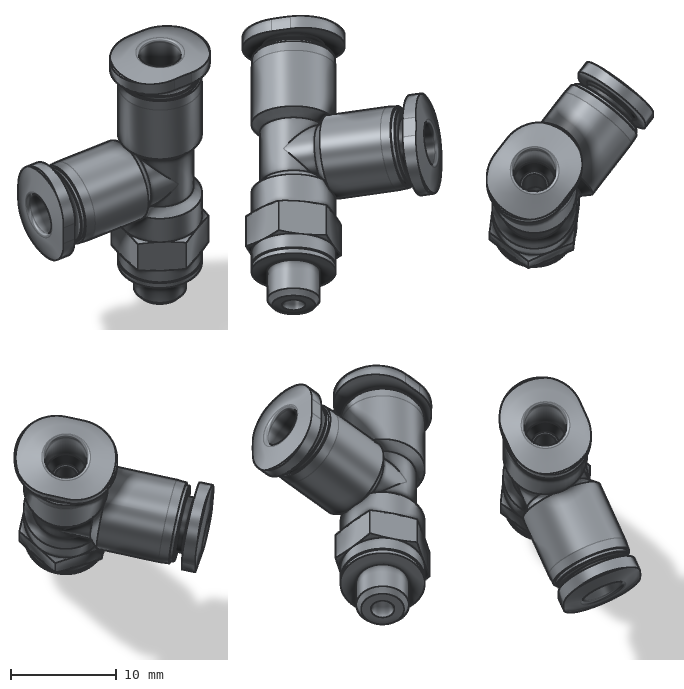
import cadquery as cq
import math

TOTAL_HEIGHT = 28.7
PORT_REACH = 13.7
TEE_Z = TOTAL_HEIGHT - PORT_REACH

BODY_R = 8.0 / 2
NECK_R = 6.4 / 2
SHOULDER = BODY_R - NECK_R
UPPER_BODY_START = 4.0
BRANCH_BODY_START = 3.87

CAP_START = 9.9
CAP_STEP = 10.88
CAP_END = 11.28
CAP_R = 7.85 / 2
CAP_RIM_R = 7.4 / 2
CAP_RIM_CHAMFER = 0.1
STEM_R = 5.4 / 2
STEM_FLARE = 0.25
FLANGE_START = 12.15
FLANGE_WIDTH = 7.92
FLANGE_LENGTH = 9.82
CROWN_R = 4.74
CROWN_DROP = 0.35
TIP_DROP = 0.45

SOCKET_R = 4.0 / 2
MOUTH_ROUND = 0.32
SOCKET_DEPTH = 5.75
TAPER_DEPTH = 1.15
SEAT_R = 2.7 / 2
PASSAGE_R = 2.2 / 2

THREAD_R = 5.0 / 2
THREAD_CHAMFER_R = 0.45
THREAD_CHAMFER_H = 0.55
COLLAR_Z = 3.5
GROOVE_Z = 4.05
GROOVE_WIDTH = 0.1
GROOVE_DEPTH = 0.1
HEX_BOTTOM = 5.57
HEX_TOP = 9.0
HEX_CORNERS = 2 * BODY_R / math.cos(math.radians(30))
HEX_CHAMFER_ANGLE = 15
LOWER_SHOULDER_Z = 11.82


def revolve_z(profile):
    """Revolve a closed radius/height sketch about the Z axis."""
    return profile.close().revolve(360, (0, 0, 0), (0, 1, 0))


def turned(points):
    """Solid of revolution from radius/height points that start and end on the axis."""
    return revolve_z(cq.Workplane("XZ").polyline(points))


def flange():
    """Oblong flange with a shallow conical outer face and bevelled tips."""
    mouth_r = SOCKET_R + MOUTH_ROUND
    tip_r = FLANGE_LENGTH / 2
    oblong = (
        cq.Workplane("XY", origin=(0, 0, FLANGE_START))
        .slot2D(FLANGE_LENGTH, FLANGE_WIDTH, 90)
        .extrude(PORT_REACH - FLANGE_START)
    )
    crown = turned([
        (0, FLANGE_START),
        (tip_r, FLANGE_START),
        (tip_r, PORT_REACH - TIP_DROP),
        (CROWN_R, PORT_REACH - CROWN_DROP),
        (mouth_r, PORT_REACH),
        (0, PORT_REACH),
    ])
    return oblong.intersect(crown)


def port(body_start):
    """Port along +Z with the tee centre at the origin, before boring."""
    barrel = turned([
        (0, 0),
        (NECK_R, 0),
        (NECK_R, body_start - SHOULDER),
        (BODY_R, body_start),
        (BODY_R, CAP_START),
        (CAP_R, CAP_STEP),
        (CAP_RIM_R, CAP_STEP),
        (CAP_RIM_R, CAP_END - CAP_RIM_CHAMFER),
        (CAP_RIM_R - CAP_RIM_CHAMFER, CAP_END),
        (STEM_R, CAP_END),
        (STEM_R, FLANGE_START - STEM_FLARE),
        (STEM_R + STEM_FLARE, FLANGE_START),
        (0, FLANGE_START),
    ])
    return barrel.union(flange())


def port_bore():
    """Rounded mouth, tube socket, tapered seat and passage down to the tee centre."""
    socket_end = PORT_REACH - SOCKET_DEPTH
    seat = socket_end - TAPER_DEPTH
    round_mid = MOUTH_ROUND * (1 - math.sqrt(0.5))
    profile = (
        cq.Workplane("XZ")
        .moveTo(0, 0)
        .lineTo(PASSAGE_R, 0)
        .lineTo(PASSAGE_R, seat)
        .lineTo(SEAT_R, seat)
        .lineTo(SOCKET_R, socket_end)
        .lineTo(SOCKET_R, PORT_REACH - MOUTH_ROUND)
        .threePointArc(
            (SOCKET_R + round_mid, PORT_REACH - round_mid),
            (SOCKET_R + MOUTH_ROUND, PORT_REACH),
        )
        .lineTo(0, PORT_REACH)
    )
    return revolve_z(profile)


def lower_body():
    """Threaded end, grooved collar and shoulder up to the tee centre."""
    return turned([
        (0, 0),
        (THREAD_R - THREAD_CHAMFER_R, 0),
        (THREAD_R, THREAD_CHAMFER_H),
        (THREAD_R, COLLAR_Z),
        (BODY_R, COLLAR_Z),
        (BODY_R, GROOVE_Z),
        (BODY_R - GROOVE_DEPTH, GROOVE_Z),
        (BODY_R - GROOVE_DEPTH, GROOVE_Z + GROOVE_WIDTH),
        (BODY_R, GROOVE_Z + GROOVE_WIDTH),
        (BODY_R, LOWER_SHOULDER_Z),
        (NECK_R, LOWER_SHOULDER_Z + SHOULDER),
        (NECK_R, TEE_Z),
        (0, TEE_Z),
    ])


def hexagon():
    """Hexagon with corners on the X axis, chamfered at both ends."""
    corner_r = HEX_CORNERS / 2
    corner_drop = (corner_r - BODY_R) * math.tan(math.radians(HEX_CHAMFER_ANGLE))
    prism = (
        cq.Workplane("XY", origin=(0, 0, HEX_BOTTOM))
        .polygon(6, HEX_CORNERS)
        .extrude(HEX_TOP - HEX_BOTTOM)
    )
    chamfers = turned([
        (0, HEX_BOTTOM),
        (BODY_R, HEX_BOTTOM),
        (corner_r, HEX_BOTTOM + corner_drop),
        (corner_r, HEX_TOP - corner_drop),
        (BODY_R, HEX_TOP),
        (0, HEX_TOP),
    ])
    return prism.intersect(chamfers)


def as_upper(shape):
    """Place a port shape pointing up."""
    return shape.translate((0, 0, TEE_Z))


def as_branch(shape):
    """Place a port shape pointing toward -Y."""
    return shape.rotate((0, 0, 0), (1, 0, 0), 90).translate((0, 0, TEE_Z))


passage = cq.Workplane("XY").circle(PASSAGE_R).extrude(TOTAL_HEIGHT)

result = (
    lower_body()
    .union(hexagon())
    .union(as_upper(port(UPPER_BODY_START)))
    .union(as_branch(port(BRANCH_BODY_START)))
    .cut(passage)
    .cut(as_upper(port_bore()))
    .cut(as_branch(port_bore()))
)